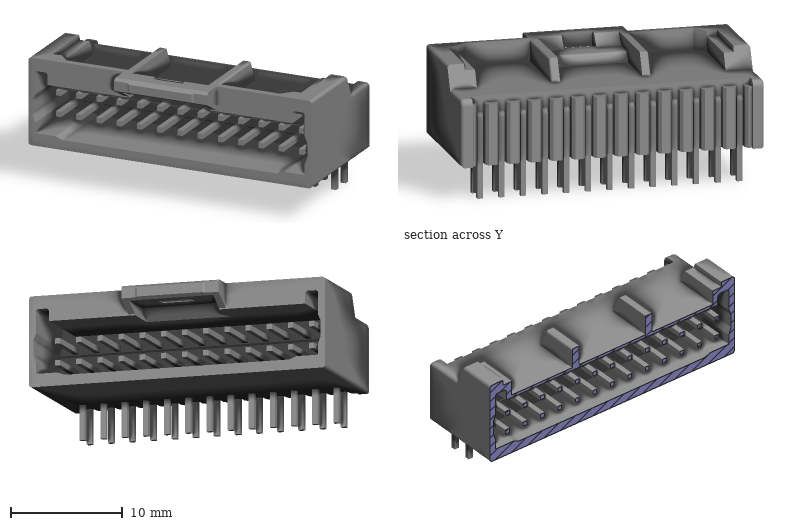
import cadquery as cq
import math


length = 28.0
depth = 12.45
height = 8.3
rear_height = 6.28
slope_top_y = 7.36
slope_bottom_y = 8.32
edge_radius = 0.3
cheek_radius = 0.6

pitch = 2.0
contacts_per_row = 13
pin_size = 0.5
pin_tip_y = 2.1
pin_length_below = 3.2
pin_bend_radius = 0.5
lower_row_z = 2.53
upper_row_z = lower_row_z + pitch
rear_row_y = 11.13
front_row_y = rear_row_y - pitch

rear_wall_y = 11.08
cheek_inner_x = 12.96
tooth_end_y = 12.0
tooth_chamfer_y = 11.65
tooth_base_width = 1.2
tooth_tip_width = 0.74
tooth_height = 5.65

cavity_depth = 7.4
cavity_half_width = 13.32
cavity_roof_z = 5.94
corner_slot_x = 12.1
corner_slot_z = 7.1
slot_outer_chamfer = 0.15
slot_inner_radius = 0.3
floor_side_z = 1.2
floor_middle_z = 0.94
floor_side_x = 11.3
floor_middle_x = 10.6
groove_half_width = 13.58
groove_z = (2.19, 2.93, 4.28, 4.88)
bar_half_height = 0.49
upper_bar_bevel = 0.15
lower_bar_bevel = 0.08

front_rim = 0.68
recess_half_width = 11.5
recess_corner_x = 10.55
recess_corner_y = 1.71
ledge_outer_x = 12.45
ledge_end_y = 7.62
ledge_z = 7.75
rib_inner_x = 3.8
rib_outer_x = 4.6
rib_radius = 0.2

tongue_z = 7.2
tongue_ramp_y = (3.32, 2.85)
tongue_ramp_radius = 0.45
nose_ramp_y = 0.92
window_half_width = 1.5
window_y = (-0.6, 0.34)
pocket_half_width = 3.97
pocket_roof_z = 6.95
pocket_ramp_y = (3.3, 1.85)
nose_half_width = rib_outer_x
nose_length = 2.05
nose_end_setback = 0.1
nose_center_x = 3.1
nose_step_x = 3.3
nose_chamfer = 0.34
nose_root_z = 6.05
nose_tip_z = 7.19

clearance = 1.0


def box(x, y, z):
    """Box between pairs of X, Y and Z limits."""
    size = (x[1] - x[0], y[1] - y[0], z[1] - z[0])
    return cq.Workplane("XY").box(*size, centered=False).translate((x[0], y[0], z[0]))


def side_prism(points, half_width):
    """Prism of a (y, z) outline, centred on X = 0."""
    return cq.Workplane("YZ").polyline(points).close().extrude(half_width, both=True)


def mirrored(body):
    """The body together with its mirror image across X = 0."""
    return body.union(body.mirror("YZ"))


def make_shell():
    rear = box((-length / 2, length / 2), (0, depth), (0, rear_height))
    rear = rear.faces(">Y").edges(">Z").fillet(cheek_radius)
    rear = rear.faces("<X or >X").edges("not <Y").fillet(edge_radius)
    slope_run = (slope_bottom_y - slope_top_y) / (height - rear_height)
    foot_y = slope_bottom_y + slope_run * edge_radius
    front_outline = [
        (0, 0),
        (foot_y, 0),
        (foot_y, rear_height - edge_radius),
        (slope_top_y, height),
        (0, height),
    ]
    front = side_prism(front_outline, length / 2)
    front = front.faces("<X or >X").edges("|Y").fillet(edge_radius)
    return front.union(rear)


def make_comb():
    """Teeth standing between the rear contact legs."""
    base = tooth_base_width / 2
    tip = tooth_tip_width / 2
    outline = [
        (-base, rear_wall_y - clearance),
        (-base, tooth_chamfer_y),
        (-tip, tooth_end_y),
        (tip, tooth_end_y),
        (base, tooth_chamfer_y),
        (base, rear_wall_y - clearance),
    ]
    centers = [((i - contacts_per_row / 2) * pitch, 0) for i in range(contacts_per_row + 1)]
    tooth = cq.Workplane("XY").polyline(outline).close().extrude(tooth_height)
    comb = cq.Workplane("XY")
    for center in centers:
        comb = comb.add(tooth.translate(center))
    cheek_limits = box((-cheek_inner_x, cheek_inner_x), (0, depth), (0, height))
    return comb.combine().intersect(cheek_limits)


def make_rear_notch():
    return box((-cheek_inner_x, cheek_inner_x), (rear_wall_y, depth + clearance), (-clearance, height))


def make_cavity():
    right_side = [
        (floor_middle_x, floor_middle_z),
        (floor_side_x, floor_side_z),
        (cavity_half_width, floor_side_z),
        (cavity_half_width, groove_z[0]),
        (groove_half_width, groove_z[1]),
        (groove_half_width, groove_z[2]),
        (cavity_half_width, groove_z[3]),
        (cavity_half_width, corner_slot_z - slot_outer_chamfer),
        (cavity_half_width - slot_outer_chamfer, corner_slot_z),
    ]
    slot_arc = slot_inner_radius * (1 - math.sqrt(0.5))
    outline = cq.Workplane("XZ").moveTo(0, floor_middle_z)
    for point in right_side:
        outline = outline.lineTo(*point)
    outline = outline.lineTo(corner_slot_x + slot_inner_radius, corner_slot_z)
    outline = outline.threePointArc(
        (corner_slot_x + slot_arc, corner_slot_z - slot_arc),
        (corner_slot_x, corner_slot_z - slot_inner_radius),
    )
    outline = outline.lineTo(corner_slot_x, cavity_roof_z).lineTo(0, cavity_roof_z).close()
    cavity = mirrored(outline.extrude(-cavity_depth))
    return cavity.cut(make_bar(upper_row_z, upper_bar_bevel)).cut(make_bar(lower_row_z, lower_bar_bevel))


def make_bar(center_z, bevel):
    """Bevelled bar raised from the end wall of the cavity."""
    root = bar_half_height
    crest = bar_half_height - bevel
    outline = [
        (cavity_depth, center_z - root),
        (cavity_depth - bevel, center_z - crest),
        (cavity_depth - bevel, center_z + crest),
        (cavity_depth, center_z + root),
    ]
    return side_prism(outline, length / 2)


def make_roof_recess():
    """Recesses either side of the locking tongue, each with a narrow upper ledge at its end wall."""
    outline = [
        (rib_inner_x, front_rim),
        (recess_corner_x, front_rim),
        (recess_half_width, recess_corner_y),
        (recess_half_width, depth),
        (rib_inner_x, depth),
    ]
    recess = cq.Workplane("XY").workplane(offset=rear_height).polyline(outline).close()
    recess = recess.extrude(height)
    ledge = box((recess_half_width, ledge_outer_x), (recess_corner_y, ledge_end_y), (ledge_z, height))
    return mirrored(recess.union(ledge))


def make_ribs():
    """Ribs beside the locking tongue, rounded along their outer upper edges."""
    outline = [
        (front_rim, rear_height),
        (slope_bottom_y, rear_height),
        (slope_top_y, height),
        (front_rim, height),
    ]
    rib = cq.Workplane("YZ").workplane(offset=rib_inner_x).polyline(outline).close()
    rib = rib.extrude(rib_outer_x - rib_inner_x)
    rib = rib.faces(">X").edges("not (<Y or <Z)").fillet(rib_radius)
    return mirrored(rib)


def make_tongue_recess():
    """Space above the locking tongue, bounded in front by the ramp of the latch nose."""
    outline = [
        (depth, height + clearance),
        (depth, rear_height),
        (tongue_ramp_y[0], rear_height),
        (tongue_ramp_y[1], tongue_z),
        (nose_ramp_y, tongue_z),
        (0, height),
        (0, height + clearance),
    ]
    recess = side_prism(outline, rib_inner_x)
    ramp_crest = cq.selectors.NearestToPointSelector((0, tongue_ramp_y[1], tongue_z))
    recess = recess.edges(ramp_crest).fillet(tongue_ramp_radius)
    over_tongue = box(
        (-window_half_width, window_half_width), (window_y[0], nose_ramp_y), (tongue_z, height + clearance)
    )
    window = box(
        (-window_half_width, window_half_width), window_y, (cavity_roof_z, height + clearance)
    )
    return recess.union(over_tongue).union(window)


def make_tongue_pocket():
    """Pocket raising the cavity roof beneath the locking tongue and the nose."""
    outline = [
        (pocket_ramp_y[0], cavity_roof_z),
        (pocket_ramp_y[1], pocket_roof_z),
        (-nose_length - clearance, pocket_roof_z),
        (-nose_length - clearance, cavity_roof_z),
    ]
    return side_prism(outline, pocket_half_width)


def make_nose():
    """Latch nose overhanging the opening, with its centre slightly proud of the ends."""
    profile = [
        (front_rim, height),
        (nose_chamfer - nose_length, height),
        (-nose_length, height - nose_chamfer),
        (-nose_length, nose_tip_z),
        (0, nose_root_z),
        (front_rim, nose_root_z),
    ]
    end_y = nose_end_setback - nose_length
    plan = [
        (-nose_half_width, front_rim),
        (-nose_half_width, end_y),
        (-nose_step_x, end_y),
        (-nose_center_x, -nose_length),
        (nose_center_x, -nose_length),
        (nose_step_x, end_y),
        (nose_half_width, end_y),
        (nose_half_width, front_rim),
    ]
    plan_prism = cq.Workplane("XY").polyline(plan).close().extrude(height)
    return side_prism(profile, nose_half_width).intersect(plan_prism)


def make_contact(row_z, leg_y):
    """Right-angle contact at X = 0, rounded on the outside of its bend."""
    half = pin_size / 2
    blade = box((-half, half), (pin_tip_y, leg_y + half), (row_z - half, row_z + half))
    leg = box((-half, half), (leg_y - half, leg_y + half), (-pin_length_below, row_z + half))
    contact = blade.union(leg)
    bend = cq.selectors.NearestToPointSelector((0, leg_y + half, row_z + half))
    return contact.edges(bend).fillet(pin_bend_radius)


def add_contacts(housing):
    lower = make_contact(lower_row_z, front_row_y)
    upper = make_contact(upper_row_z, rear_row_y)
    for i in range(contacts_per_row):
        x = (i - (contacts_per_row - 1) / 2) * pitch
        housing = housing.union(lower.translate((x, 0, 0))).union(upper.translate((x, 0, 0)))
    return housing


housing = make_shell().cut(make_rear_notch()).union(make_comb())
housing = housing.cut(make_roof_recess()).union(make_ribs()).union(make_nose())
housing = housing.cut(make_cavity()).cut(make_tongue_recess()).cut(make_tongue_pocket())
result = add_contacts(housing)